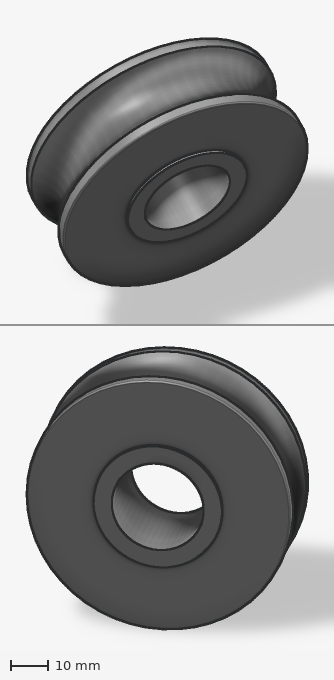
import cadquery as cq

rim_diameter = 72.0
rim_width = 23.8
hub_diameter = 35.0
hub_length = 25.8
bore_diameter = 25.0
groove_radius = 10.0
groove_depth = 5.0
edge_fillet = 0.5

groove_center_radius = rim_diameter / 2 - groove_depth + groove_radius


def cylinder_along_x(diameter, length):
    """Cylinder on the X axis, centred on the origin."""
    return cq.Workplane("YZ").circle(diameter / 2).extrude(length / 2, both=True)


def make_rim():
    """Wheel disc with rounded outer edges."""
    return cylinder_along_x(rim_diameter, rim_width).edges().fillet(edge_fillet)


def make_groove():
    """Ring of circular section that cuts the running groove."""
    return (
        cq.Workplane("XY")
        .center(0, groove_center_radius)
        .circle(groove_radius)
        .revolve(360, (0, -groove_center_radius), (1, -groove_center_radius))
    )


hub = cylinder_along_x(hub_diameter, hub_length)
bore = cylinder_along_x(bore_diameter, hub_length)

result = make_rim().cut(make_groove()).union(hub).cut(bore)